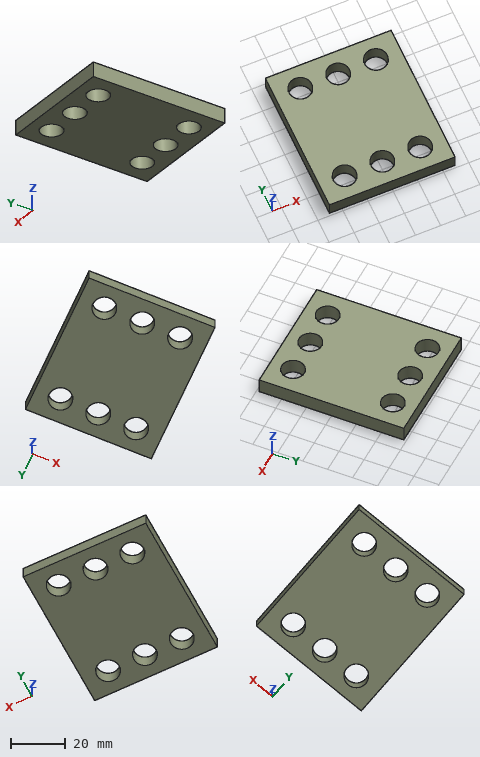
import cadquery as cq

plate_width = 50.0
plate_length = 58.0
plate_thickness = 6.2

hole_diameter = 9.0
holes_per_row = 3
row_count = 2
hole_pitch = 15.0
row_spacing = 40.0

plate = cq.Workplane("XY").box(plate_width, plate_length, plate_thickness)

result = (
    plate.faces(">Z")
    .workplane()
    .rarray(hole_pitch, row_spacing, holes_per_row, row_count)
    .hole(hole_diameter)
)